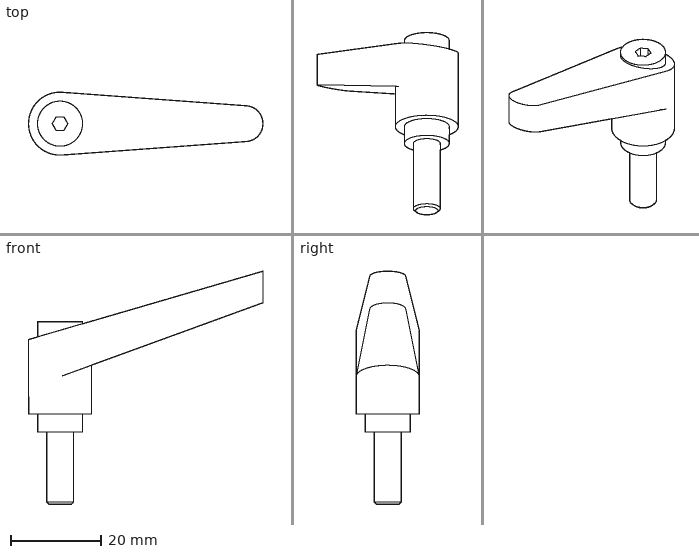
import cadquery as cq
import math

hub_radius = 7.0

lever_reach = 45.0
tip_radius = 4.0
tip_top_z = 31.69
tip_bottom_z = 24.65
top_slope = math.tan(math.radians(16.26))
underside_slope = math.tan(math.radians(20.0))

head_radius = 5.0
head_top_z = 20.5
collar_height = 4.0
stud_radius = 3.0
stud_length = 16.0
stud_chamfer = 0.5

socket_across_flats = 3.0
socket_depth = 3.0
socket_cone_angle = 120.0


def top_z(x):
    """Height of the sloping upper face of the lever."""
    return tip_top_z - top_slope * (lever_reach - x)


def underside_z(x):
    """Height of the sloping lower face of the lever."""
    return tip_bottom_z - underside_slope * (lever_reach - x)


def lever_plan():
    """Plan outline: hub and tip arcs joined by their common tangents."""
    tip_center = lever_reach - tip_radius
    taper_sin = (hub_radius - tip_radius) / tip_center
    taper_cos = math.sqrt(1 - taper_sin**2)
    hub_x = hub_radius * taper_sin
    hub_y = hub_radius * taper_cos
    tip_x = tip_center + tip_radius * taper_sin
    tip_y = tip_radius * taper_cos
    return (
        cq.Workplane("XY")
        .moveTo(hub_x, -hub_y)
        .lineTo(tip_x, -tip_y)
        .threePointArc((lever_reach, 0), (tip_x, tip_y))
        .lineTo(hub_x, hub_y)
        .threePointArc((-hub_radius, 0), (hub_x, -hub_y))
        .close()
    )


def side_profile(points):
    """Profile in the XZ plane, extruded across the full hub width."""
    return cq.Workplane("XZ").polyline(points).close().extrude(hub_radius, both=True)


def make_lever():
    profile = side_profile(
        [
            (-hub_radius, underside_z(-hub_radius)),
            (lever_reach, tip_bottom_z),
            (lever_reach, tip_top_z),
            (-hub_radius, top_z(-hub_radius)),
        ]
    )
    return lever_plan().extrude(tip_top_z).intersect(profile)


def make_hub():
    profile = side_profile(
        [
            (-hub_radius, 0),
            (hub_radius, 0),
            (hub_radius, top_z(hub_radius)),
            (-hub_radius, top_z(-hub_radius)),
        ]
    )
    return cq.Workplane("XY").circle(hub_radius).extrude(top_z(hub_radius)).intersect(profile)


def make_screw():
    body = cq.Workplane("XY").workplane(offset=-collar_height).circle(head_radius)
    body = body.extrude(collar_height + head_top_z)
    stud = cq.Workplane("XY").workplane(offset=-collar_height).circle(stud_radius)
    stud = stud.extrude(-stud_length).faces("<Z").chamfer(stud_chamfer)
    return body.union(stud)


def make_socket():
    """Hexagonal prism ending in a drill point."""
    corner_radius = socket_across_flats / (2 * math.cos(math.pi / 6))
    cone_height = corner_radius / math.tan(math.radians(socket_cone_angle / 2))
    floor_z = head_top_z - socket_depth
    hexagon = (
        cq.Workplane("XY")
        .workplane(offset=head_top_z)
        .polygon(6, 2 * corner_radius)
        .extrude(-socket_depth - cone_height)
    )
    drill = (
        cq.Workplane("XZ")
        .moveTo(0, floor_z - cone_height)
        .lineTo(corner_radius, floor_z)
        .lineTo(corner_radius, head_top_z)
        .lineTo(0, head_top_z)
        .close()
        .revolve(360, (0, 0, 0), (0, 1, 0))
    )
    return hexagon.intersect(drill)


result = make_hub().union(make_lever()).union(make_screw()).cut(make_socket())